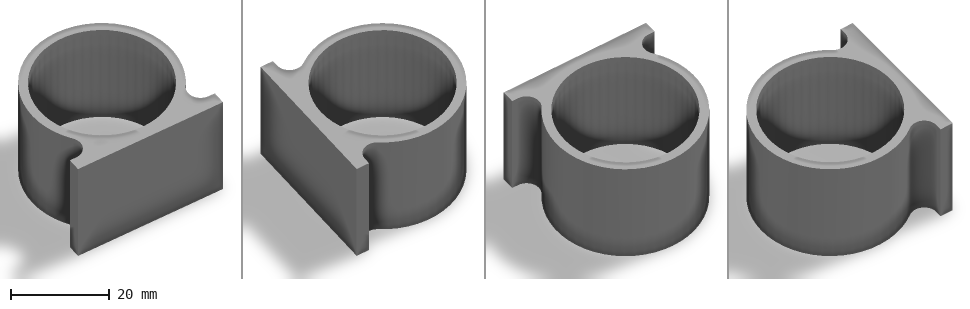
import cadquery as cq
import math

plate_width = 35.0
overall_depth = 35.0
height = 25.0
ring_outer_diameter = 34.0
bore_diameter = 30.0
fillet_radius = 3.0

ring_radius = ring_outer_diameter / 2
bore_radius = bore_diameter / 2
half_width = plate_width / 2
plate_back_x = overall_depth - ring_radius
plate_front_x = bore_radius

fillet_x = plate_front_x - fillet_radius
center_distance = ring_radius + fillet_radius
fillet_y = math.sqrt(center_distance**2 - fillet_x**2)
tangent_x = fillet_x * ring_radius / center_distance
tangent_y = fillet_y * ring_radius / center_distance

ring_side_angle = math.atan2(-fillet_y, -fillet_x)
middle_angle = ring_side_angle / 2
middle_x = fillet_x + fillet_radius * math.cos(middle_angle)
middle_y = fillet_y + fillet_radius * math.sin(middle_angle)

body = (
    cq.Workplane("XY")
    .moveTo(plate_back_x, -half_width)
    .lineTo(plate_back_x, half_width)
    .lineTo(plate_front_x, half_width)
    .lineTo(plate_front_x, fillet_y)
    .threePointArc((middle_x, middle_y), (tangent_x, tangent_y))
    .threePointArc((-ring_radius, 0), (tangent_x, -tangent_y))
    .threePointArc((middle_x, -middle_y), (plate_front_x, -fillet_y))
    .lineTo(plate_front_x, -half_width)
    .close()
    .extrude(height)
)

bore = cq.Workplane("XY").circle(bore_radius).extrude(height)

result = body.cut(bore)